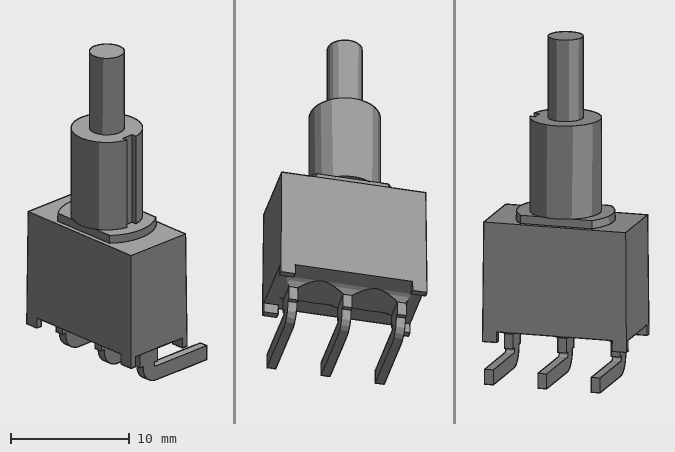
import cadquery as cq
import math

TOTAL_HEIGHT = 29.05
BUSHING_TOP = 21.95
FLANGE_TOP = 13.85
BODY_TOP = 13.15
SLOT_ROOF = 3.7
FEET_BOTTOM = 2.75
SHOULDER_HEIGHT = 1.7

BODY_LENGTH = 12.7
BODY_WIDTH = 6.57
BODY_DRAFT = 0.1
CROSS_SLOT_WIDTH = 5.5

PLUNGER_DIAMETER = 2.95
BUSHING_DIAMETER = 6.05
KEYWAY_WIDTH = 1.05
KEYWAY_FLOOR = 2.5
FLANGE_DIAMETER = 8.4
FLANGE_FLATS_WIDTH = 5.52
FLANGE_DRAFT = 0.05

TERMINAL_COUNT = 3
TERMINAL_PITCH = 4.7
TERMINAL_THICKNESS = 0.78
TERMINAL_REACH = 6.8
SHANK_WIDTH = 2.05
LEG_WIDTH = 1.3
INNER_BEND_RADIUS = 0.2
OUTER_BEND_RADIUS = INNER_BEND_RADIUS + LEG_WIDTH

SEAL_DROP = 0.7
SEAL_SPREAD = 1.05
SCALLOP_GAP = 0.1

TERMINAL_ROW_LENGTH = (TERMINAL_COUNT - 1) * TERMINAL_PITCH + TERMINAL_THICKNESS


def box_between(x_size, y_size, bottom, top):
    """Box centred on the Z axis between two heights."""
    block = cq.Workplane("XY").box(x_size, y_size, top - bottom, centered=(True, True, False))
    return block.translate((0, 0, bottom))


def drafted(sketch, height, inset):
    """Extrude upward with the sides leaning in by the inset."""
    return sketch.extrude(height, taper=math.degrees(math.atan2(inset, height)))


def make_body():
    base = cq.Workplane("XY", origin=(0, 0, FEET_BOTTOM)).rect(BODY_LENGTH, BODY_WIDTH)
    body = drafted(base, BODY_TOP - FEET_BOTTOM, BODY_DRAFT)
    terminal_slot = box_between(TERMINAL_ROW_LENGTH, BODY_WIDTH, FEET_BOTTOM, SLOT_ROOF)
    cross_slot = box_between(BODY_LENGTH, CROSS_SLOT_WIDTH, FEET_BOTTOM, SLOT_ROOF)
    return body.cut(terminal_slot).cut(cross_slot)


def make_flange():
    """Round flange with two flats, its whole rim drafted."""
    height = FLANGE_TOP - BODY_TOP
    base = cq.Workplane("XY", origin=(0, 0, BODY_TOP))
    disc = drafted(base.circle(FLANGE_DIAMETER / 2), height, FLANGE_DRAFT)
    flats = drafted(base.rect(2 * FLANGE_DIAMETER, FLANGE_FLATS_WIDTH), height, FLANGE_DRAFT)
    return disc.intersect(flats)


def make_bushing():
    height = BUSHING_TOP - FLANGE_TOP
    bushing = cq.Workplane("XY", origin=(0, 0, FLANGE_TOP)).circle(BUSHING_DIAMETER / 2).extrude(height)
    keyway = box_between(BUSHING_DIAMETER, KEYWAY_WIDTH, FLANGE_TOP, BUSHING_TOP)
    return bushing.cut(keyway.translate((KEYWAY_FLOOR + BUSHING_DIAMETER / 2, 0, 0)))


def make_plunger():
    plunger = cq.Workplane("XY", origin=(0, 0, BUSHING_TOP)).circle(PLUNGER_DIAMETER / 2)
    return plunger.extrude(TOTAL_HEIGHT - BUSHING_TOP)


def make_terminal(x):
    """Flat terminal: wide shank, shoulders, then a bent leg running toward +Y."""
    half_shank = SHANK_WIDTH / 2
    half_leg = LEG_WIDTH / 2
    bend_y = half_leg + INNER_BEND_RADIUS
    diagonal = math.sqrt(0.5)
    outer_mid = (bend_y - OUTER_BEND_RADIUS * diagonal, OUTER_BEND_RADIUS * (1 - diagonal))
    inner_mid = (
        bend_y - INNER_BEND_RADIUS * diagonal,
        OUTER_BEND_RADIUS - INNER_BEND_RADIUS * diagonal,
    )
    outline = (
        cq.Workplane("YZ", origin=(x - TERMINAL_THICKNESS / 2, 0, 0))
        .moveTo(-half_shank, SLOT_ROOF)
        .lineTo(-half_shank, SHOULDER_HEIGHT)
        .lineTo(-half_leg, SHOULDER_HEIGHT)
        .lineTo(-half_leg, OUTER_BEND_RADIUS)
        .threePointArc(outer_mid, (bend_y, 0))
        .lineTo(TERMINAL_REACH, 0)
        .lineTo(TERMINAL_REACH, LEG_WIDTH)
        .lineTo(bend_y, LEG_WIDTH)
        .threePointArc(inner_mid, (half_leg, OUTER_BEND_RADIUS))
        .lineTo(half_leg, SHOULDER_HEIGHT)
        .lineTo(half_shank, SHOULDER_HEIGHT)
        .lineTo(half_shank, SLOT_ROOF)
        .close()
    )
    return outline.extrude(TERMINAL_THICKNESS)


def arc_radius(run, rise):
    """Radius of an arc that starts tangent to the run and ends at the rise."""
    return (run**2 + rise**2) / (2 * rise)


def seal_flank(plane, origin):
    """Concave triangle hanging from the slot roof, tangent to it at its tip."""
    radius = arc_radius(SEAL_SPREAD, SEAL_DROP)
    half_angle = math.asin(SEAL_SPREAD / radius) / 2
    middle = (SEAL_SPREAD - radius * math.sin(half_angle), -radius * (1 - math.cos(half_angle)))
    return (
        cq.Workplane(plane, origin=origin)
        .lineTo(SEAL_SPREAD, 0)
        .threePointArc(middle, (0, -SEAL_DROP))
        .close()
    )


def make_seal():
    """Concave fillet around the terminal row, scalloped between terminals."""
    half_row = TERMINAL_ROW_LENGTH / 2
    half_shank = SHANK_WIDTH / 2

    seal = box_between(TERMINAL_ROW_LENGTH, SHANK_WIDTH, SLOT_ROOF - SEAL_DROP, SLOT_ROOF)
    side = seal_flank("YZ", (-half_row, half_shank, SLOT_ROOF)).extrude(TERMINAL_ROW_LENGTH)
    end = seal_flank("XZ", (half_row, half_shank, SLOT_ROOF)).extrude(SHANK_WIDTH)
    seal = seal.union(side).union(side.mirror("XZ")).union(end).union(end.mirror("YZ"))
    corner = seal_flank("XZ", (0, 0, SLOT_ROOF)).revolve(360, (0, 0), (0, 1))
    for x in (-half_row, half_row):
        for y in (-half_shank, half_shank):
            seal = seal.union(corner.translate((x, y, 0)))

    half_gap = (TERMINAL_PITCH - TERMINAL_THICKNESS) / 2
    radius = arc_radius(half_gap, SEAL_DROP - SCALLOP_GAP)
    for gap in range(TERMINAL_COUNT - 1):
        x = (gap + 1 - TERMINAL_COUNT / 2) * TERMINAL_PITCH
        scallop = cq.Workplane("XZ", origin=(x, 0, SLOT_ROOF - SCALLOP_GAP - radius)).circle(radius)
        seal = seal.cut(scallop.extrude(BODY_WIDTH / 2, both=True))
    return seal


result = make_body().union(make_flange()).union(make_bushing())
result = result.union(make_plunger()).union(make_seal())
for index in range(TERMINAL_COUNT):
    terminal_x = (index - (TERMINAL_COUNT - 1) / 2) * TERMINAL_PITCH
    result = result.union(make_terminal(terminal_x))